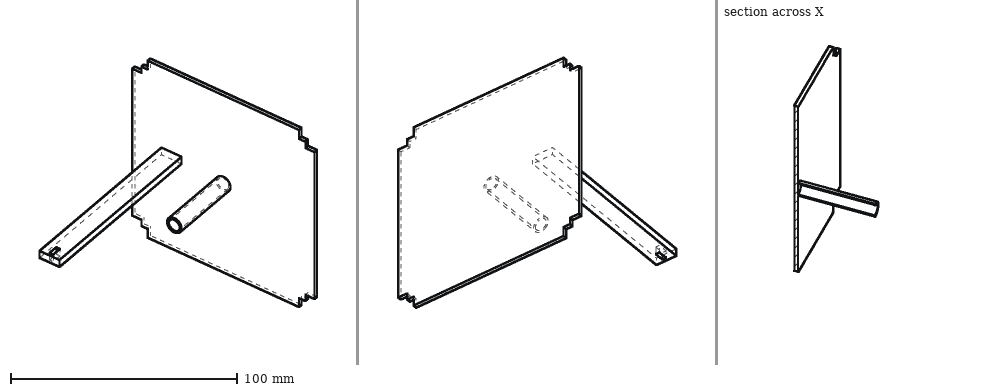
import cadquery as cq

plate_side = 100.0
plate_thickness = 2.0
notch_outer = 8.5
notch_inner = 5.0

arm_length = 91.0
arm_width = 11.0
arm_height = 4.0
arm_center_x = -28.4
arm_bottom_z = 0.5

slot_width = 2.0
slot_length = 5.0
slot_end_gap = 1.5

tube_length = 36.5
tube_outer_diameter = 8.0
tube_bore_diameter = 6.0


def box_between(x_center, width, y_front, length, z_bottom, height):
    """Box centred on x_center, growing in +Y and +Z."""
    box = cq.Workplane("XY").box(width, length, height, centered=(True, False, False))
    return box.translate((x_center, y_front, z_bottom))


def make_plate():
    """Plate with stepped corners, formed by three overlapping rectangles."""
    long_side = plate_side
    short_side = plate_side - 2 * notch_outer
    middle_side = plate_side - 2 * notch_inner
    plate = None
    for width, height in (
        (long_side, short_side),
        (middle_side, middle_side),
        (short_side, long_side),
    ):
        slab = box_between(0, width, 0, plate_thickness, -height / 2, height)
        plate = slab if plate is None else plate.union(slab)
    return plate


def make_arm():
    arm = box_between(arm_center_x, arm_width, -arm_length, arm_length, arm_bottom_z, arm_height)
    slot_front = -arm_length + slot_end_gap
    slot = box_between(arm_center_x, slot_width, slot_front, slot_length, arm_bottom_z, arm_height)
    return arm.cut(slot)


def make_tube():
    profile = cq.Workplane("XZ").circle(tube_outer_diameter / 2).circle(tube_bore_diameter / 2)
    return profile.extrude(tube_length)


result = make_plate().union(make_arm()).union(make_tube())